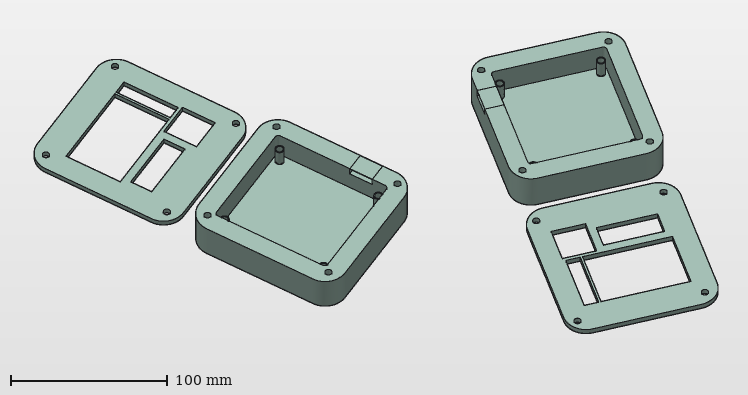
import cadquery as cq

outline_length = 109.0
outline_width = 102.3
outline_radius = 15.0

screw_diameter = 4.5
screw_spacing_x = 90.2
screw_spacing_y = 84.9
screw_offset_y = 1.1

cover_thickness = 4.0
cover_bottom = 5.0
body_gap = 11.5

left_windows_x = (-33.5, 6.9)
windows = [
    (*left_windows_x, 26.0, 35.5),
    (*left_windows_x, -35.5, 24.3),
    (9.2, 33.5, 14.2, 37.2),
    (12.6, 28.2, -32.1, 8.7),
]

housing_height = 25.0
floor_thickness = 6.0
pocket_length = 82.8
pocket_width = 76.6
pocket_radius = 2.3
pocket_depth = housing_height - floor_thickness
screw_depth = pocket_depth

post_diameter = 6.0
post_bore_diameter = 4.5
post_height = 12.0
post_spacing_x = 73.6
post_spacing_y = 67.5

slot_x_min = 12.6
slot_length = 16.7
slot_height = 4.8
slot_roof = 0.5


def rounded_block(length, width, radius, bottom, height):
    block = cq.Workplane("XY", origin=(0, 0, bottom)).rect(length, width).extrude(height)
    return block.edges("|Z").fillet(radius)


def screw_holes(bottom, depth):
    return (
        cq.Workplane("XY", origin=(0, screw_offset_y, bottom))
        .rarray(screw_spacing_x, screw_spacing_y, 2, 2)
        .circle(screw_diameter / 2)
        .extrude(depth)
    )


def make_cover():
    cover = rounded_block(outline_length, outline_width, outline_radius, cover_bottom, cover_thickness)
    cover = cover.cut(screw_holes(cover_bottom, cover_thickness))
    for x_min, x_max, y_min, y_max in windows:
        window = cq.Workplane("XY").box(x_max - x_min, y_max - y_min, cover_thickness, centered=False)
        cover = cover.cut(window.translate((x_min, y_min, cover_bottom)))
    return cover


def make_posts():
    return (
        cq.Workplane("XY", origin=(0, 0, floor_thickness))
        .rarray(post_spacing_x, post_spacing_y, 2, 2)
        .circle(post_diameter / 2)
        .circle(post_bore_diameter / 2)
        .extrude(post_height)
    )


def make_slot():
    wall_thickness = (outline_width - pocket_width) / 2
    slot = cq.Workplane("XY").box(slot_length, wall_thickness, slot_height, centered=False)
    slot_bottom = housing_height - slot_roof - slot_height
    return slot.translate((slot_x_min, pocket_width / 2, slot_bottom))


def make_housing():
    housing = rounded_block(outline_length, outline_width, outline_radius, 0, housing_height)
    pocket = rounded_block(pocket_length, pocket_width, pocket_radius, floor_thickness, pocket_depth)
    housing = housing.cut(pocket).cut(make_slot())
    housing = housing.cut(screw_holes(housing_height - screw_depth, screw_depth))
    return housing.union(make_posts())


cover = make_cover()
housing = make_housing().translate((outline_length + body_gap, 0, 0))
result = cq.Compound.makeCompound([cover.val(), housing.val()])